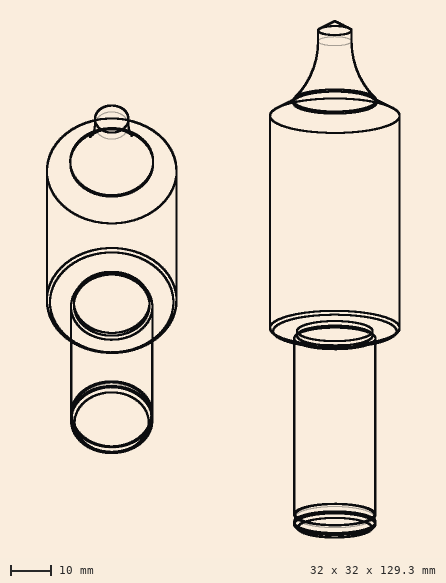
import cadquery as cq
import math

total_height = 129.3
body_radius = 32.0 / 2
shank_radius = 20.0 / 2
flare_base_radius = 10.2
pilot_radius = 4.1

body_bottom = 50.2
body_top = 105.1
flare_base = 109.0
flare_top = 124.1
tip_height = 2.5
tip_base = total_height - tip_height

shoulder_slope = 0.58
shoulder_top = body_top + shoulder_slope * (body_radius - flare_base_radius)

body_chamfer = 0.8
neck_radius = 9.3
neck_height = 1.2
neck_bevel = shank_radius - neck_radius
end_chamfer = 0.9
groove_bottom = 1.4
groove_blend_top = 2.7
groove_top = 3.4
groove_depth = 0.3
groove_radius = shank_radius - groove_depth


def concave_midpoint(outer_radius, outer_height, inner_radius, inner_height):
    """Middle point of a concave arc that runs parallel to the axis at its inner end."""
    radial = outer_radius - inner_radius
    axial = inner_height - outer_height
    arc_radius = (radial**2 + axial**2) / (2 * radial)
    half_angle = math.asin(axial / arc_radius) / 2
    mid_radius = inner_radius + arc_radius * (1 - math.cos(half_angle))
    mid_height = inner_height - arc_radius * math.sin(half_angle)
    return (mid_radius, mid_height)


def turned_body():
    """Revolve the radius-height half profile about the Z axis."""
    groove_midpoint = concave_midpoint(shank_radius, groove_bottom, groove_radius, groove_blend_top)
    flare_midpoint = concave_midpoint(flare_base_radius, flare_base, pilot_radius, flare_top)
    profile = (
        cq.Workplane("XZ")
        .lineTo(shank_radius - end_chamfer, 0)
        .lineTo(shank_radius, end_chamfer)
        .lineTo(shank_radius, groove_bottom)
        .threePointArc(groove_midpoint, (groove_radius, groove_blend_top))
        .lineTo(groove_radius, groove_top)
        .lineTo(shank_radius, groove_top)
        .lineTo(shank_radius, body_bottom - neck_height - neck_bevel)
        .lineTo(neck_radius, body_bottom - neck_height)
        .lineTo(neck_radius, body_bottom)
        .lineTo(body_radius - body_chamfer, body_bottom)
        .lineTo(body_radius, body_bottom + body_chamfer)
        .lineTo(body_radius, body_top)
        .lineTo(flare_base_radius, shoulder_top)
        .lineTo(flare_base_radius, flare_base)
        .threePointArc(flare_midpoint, (pilot_radius, flare_top))
        .lineTo(pilot_radius, tip_base)
        .lineTo(0, total_height)
        .close()
    )
    return profile.revolve(360, (0, 0, 0), (0, 1, 0))


result = turned_body()